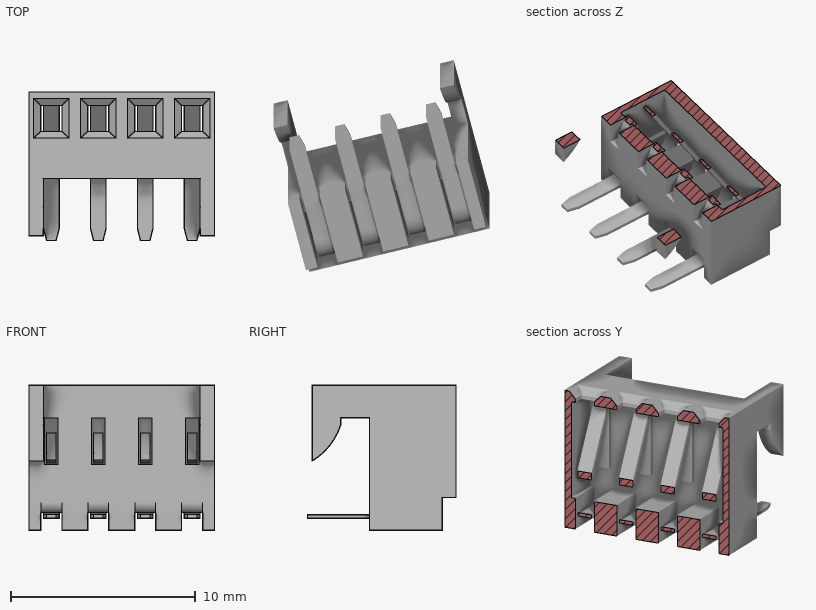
import cadquery as cq
import math

DIAGONAL = math.sqrt(0.5)


width = 10.06
height = 7.87
body_depth = 4.69
back_wall = 0.74
foot_height = 1.78
inner_back = body_depth - back_wall

contact_count = 4
pitch = 2.54
contact_x = [(i - (contact_count - 1) / 2) * pitch for i in range(contact_count)]

arm_thickness = 0.78
arm_reach = 3.10
arm_underside = 6.09
hook_start = 1.55
hook_flat = 0.37
hook_mid = (2.10, 4.66)
hook_tip_height = 3.76

funnel_depth = 0.42
funnel_width = 1.91
funnel_length = 2.14
throat_width = 1.13
throat_length = 1.40
rear_rim = 0.35
funnel_back = body_depth - rear_rim

front_wall = 1.02
end_wall = 0.41
roof = 0.63

slot_width = 0.74
slot_height = 2.53
slot_top = arm_underside

notch_width = 1.13
notch_height = 1.48
notch_round = 0.52

sheet = 0.2
contact_width = 0.86
pin_reach = 3.36
pin_bottom = 0.66
pin_taper = 0.66
pin_tip_width = 0.52
bend_radius = 1.0
bend_y = inner_back - bend_radius - sheet
spring_angle = 28.8
spring_start = 1.95
spring_radius = 0.6
plate_bottom = 3.0
plate_back = front_wall + sheet

lance_width = 0.51
lance_top = 5.28
lance_drop = 1.47
lance_angle = 22.3
lance_thickness = 0.41


def box(x_size, y_range, z_range, x_center=0.0):
    """Box centered in X between the given Y and Z limits."""
    y_size = y_range[1] - y_range[0]
    z_size = z_range[1] - z_range[0]
    corner = (x_center - x_size / 2, y_range[0], z_range[0])
    return cq.Workplane("XY").box(x_size, y_size, z_size, centered=False).translate(corner)


def side_extrusion(outline, thickness, x_center):
    """Extrude a closed YZ outline symmetrically about x_center."""
    return outline.extrude(thickness / 2, both=True).translate((x_center, 0, 0))


def make_arm(x_center):
    outline = (
        cq.Workplane("YZ")
        .moveTo(0, height)
        .lineTo(0, arm_underside)
        .lineTo(-hook_start, arm_underside)
        .lineTo(-hook_start, arm_underside - hook_flat)
        .threePointArc((-hook_mid[0], hook_mid[1]), (-arm_reach, hook_tip_height))
        .lineTo(-arm_reach, height)
        .close()
    )
    return side_extrusion(outline, arm_thickness, x_center)


def make_opening(x):
    """Tapered lead-in followed by a straight throat down to the channel."""
    funnel_center = funnel_back - funnel_length / 2
    throat_center = inner_back - throat_length / 2
    funnel = (
        cq.Workplane("XY", origin=(x, 0, height))
        .center(0, funnel_center)
        .rect(funnel_width, funnel_length)
        .workplane(offset=-funnel_depth)
        .center(0, throat_center - funnel_center)
        .rect(throat_width, throat_length)
        .loft(ruled=True)
    )
    throat_range = (inner_back - throat_length, inner_back)
    throat = box(throat_width, throat_range, (height - roof, height - funnel_depth), x)
    return funnel.union(throat)


def make_notch(x):
    """Passage for the pin, open below and at both ends, with a rounded front wall above it."""
    ceiling = notch_height - notch_round
    arc_offset = notch_round * (1 - DIAGONAL)
    outline = (
        cq.Workplane("YZ")
        .moveTo(0, 0)
        .lineTo(0, notch_height)
        .threePointArc((arc_offset, ceiling + arc_offset), (notch_round, ceiling))
        .lineTo(front_wall, ceiling)
        .lineTo(front_wall, foot_height)
        .lineTo(inner_back, foot_height)
        .lineTo(inner_back, 0)
        .close()
    )
    return side_extrusion(outline, notch_width, x)


def make_housing():
    body = box(width, (0, body_depth), (0, height))
    body = body.cut(box(width, (inner_back, body_depth), (0, foot_height)))
    arm_x = (width - arm_thickness) / 2
    for side in (-1, 1):
        body = body.union(make_arm(side * arm_x))
    channel_width = width - 2 * end_wall
    body = body.cut(box(channel_width, (front_wall, inner_back), (foot_height, height - roof)))
    for x in contact_x:
        body = body.cut(make_opening(x))
        body = body.cut(make_notch(x))
        body = body.cut(box(slot_width, (0, front_wall), (slot_top - slot_height, slot_top), x))
    return body


def make_pin(x):
    """Flat solder pin with a tapered tip, up to the start of its bend."""
    half = contact_width / 2
    half_tip = pin_tip_width / 2
    return (
        cq.Workplane("XY", origin=(x, 0, pin_bottom))
        .moveTo(-half, bend_y)
        .lineTo(-half, pin_taper - pin_reach)
        .lineTo(-half_tip, -pin_reach)
        .lineTo(half_tip, -pin_reach)
        .lineTo(half, pin_taper - pin_reach)
        .lineTo(half, bend_y)
        .close()
        .extrude(sheet)
    )


def make_spring(x):
    """Bend behind the pin, upright leg, leaning spring and the plate it meets at the front."""
    lean = math.radians(spring_angle)
    outer = bend_radius + sheet
    inner_leg = inner_back - sheet
    bend_z = pin_bottom + outer
    turn_y = inner_back - spring_radius
    inner_radius = spring_radius - sheet

    def on_turn(radius, angle):
        return (turn_y + radius * math.cos(angle), spring_start + radius * math.sin(angle))

    outer_end = on_turn(spring_radius, lean)
    inner_end = on_turn(inner_radius, lean)
    top_z = outer_end[1] + (outer_end[0] - front_wall) / math.tan(lean)
    meet_z = inner_end[1] + (inner_end[0] - plate_back) / math.tan(lean)
    outline = (
        cq.Workplane("YZ")
        .moveTo(bend_y, pin_bottom)
        .threePointArc((bend_y + outer * DIAGONAL, bend_z - outer * DIAGONAL), (inner_back, bend_z))
        .lineTo(inner_back, spring_start)
        .threePointArc(on_turn(spring_radius, lean / 2), outer_end)
        .lineTo(front_wall, top_z)
        .lineTo(front_wall, plate_bottom)
        .lineTo(plate_back, plate_bottom)
        .lineTo(plate_back, meet_z)
        .lineTo(*inner_end)
        .threePointArc(on_turn(inner_radius, lean / 2), (inner_leg, spring_start))
        .lineTo(inner_leg, bend_z)
        .threePointArc(
            (bend_y + bend_radius * DIAGONAL, bend_z - bend_radius * DIAGONAL),
            (bend_y, pin_bottom + sheet),
        )
        .close()
    )
    return side_extrusion(outline, contact_width, x)


def make_lance(x):
    """Square-ended tongue leaning out of the front plate into the slot."""
    lean = math.radians(lance_angle)
    tip_y = front_wall - lance_drop * math.tan(lean)
    tip_z = lance_top - lance_drop
    heel_y = tip_y + lance_thickness * math.cos(lean)
    heel_z = tip_z - lance_thickness * math.sin(lean)
    outline = (
        cq.Workplane("YZ")
        .moveTo(front_wall, lance_top)
        .lineTo(tip_y, tip_z)
        .lineTo(heel_y, heel_z)
        .lineTo(plate_back, heel_z + (plate_back - heel_y) / math.tan(lean))
        .lineTo(plate_back, lance_top)
        .close()
    )
    return side_extrusion(outline, lance_width, x)


result = make_housing()
for x in contact_x:
    for make_piece in (make_pin, make_spring, make_lance):
        result = result.union(make_piece(x))